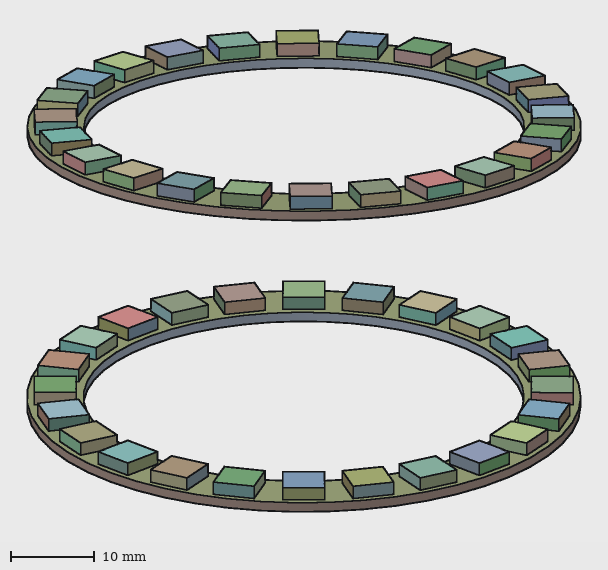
import cadquery as cq

outer_diameter = 66.0
inner_diameter = 52.5
ring_thickness = 1.2

total_height = 2.8
block_count = 24
block_side = 5.0
block_height = total_height - ring_thickness
block_circle_radius = (outer_diameter + inner_diameter) / 4


def make_ring():
    """Flat ring lying on the XY plane."""
    return (
        cq.Workplane("XY")
        .circle(outer_diameter / 2)
        .circle(inner_diameter / 2)
        .extrude(ring_thickness)
    )


def make_blocks():
    """Evenly spaced square blocks, each turned to face the ring centre."""
    return (
        cq.Workplane("XY")
        .workplane(offset=ring_thickness)
        .polarArray(block_circle_radius, 0, 360, block_count)
        .rect(block_side, block_side)
        .extrude(block_height)
    )


result = make_ring().union(make_blocks())